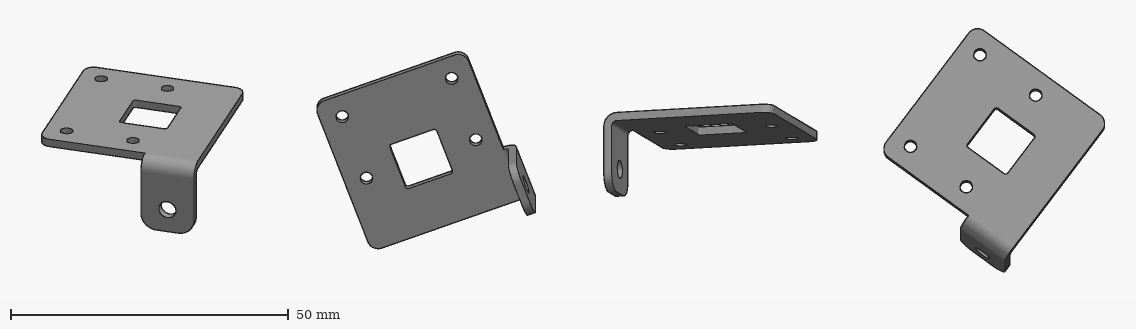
import cadquery as cq

thickness = 1.5
bend_inner_radius = 0.98
bend_outer_radius = bend_inner_radius + thickness

plate_width = 30.0
total_depth = 31.5
plate_depth = total_depth - bend_outer_radius
plate_corner_radius = 2.0

mount_hole_diameter = 2.25
mount_hole_inset = 4.0
mount_hole_right_x = 16.5

window_size = 9.0
window_corner_radius = 0.5

tab_width = 10.02
tab_height = 14.0
tab_corner_radius = 3.0
tab_hole_diameter = 3.2
tab_hole_drop = 9.5
tab_left = plate_width - tab_width


def make_plate():
    """Flat plate, square only at the corner where it runs into the tab."""
    plate = cq.Workplane("XY").box(plate_width, plate_depth, thickness, centered=False)
    plate = plate.translate((0, 0, -thickness))
    plate = plate.edges("|Z and (<X or >Y)").fillet(plate_corner_radius)

    mount_holes = (
        cq.Workplane("XY")
        .pushPoints([
            (x, y)
            for x in (mount_hole_inset, mount_hole_right_x)
            for y in (mount_hole_inset, plate_depth - mount_hole_inset)
        ])
        .circle(mount_hole_diameter / 2)
        .extrude(-thickness)
    )
    window = (
        cq.Workplane("XY")
        .center(mount_hole_right_x, plate_depth / 2)
        .rect(window_size, window_size)
        .extrude(-thickness)
        .edges("|Z")
        .fillet(window_corner_radius)
    )
    return plate.cut(mount_holes).cut(window)


def make_tab():
    """Quarter-round bend and hanging tab, from a YZ profile swept along X."""
    outer_y = -bend_outer_radius
    inner_y = -bend_inner_radius
    tab = (
        cq.Workplane("YZ", origin=(tab_left, 0, 0))
        .moveTo(0, 0)
        .radiusArc((outer_y, -bend_outer_radius), -bend_outer_radius)
        .lineTo(outer_y, -tab_height)
        .lineTo(inner_y, -tab_height)
        .lineTo(inner_y, -bend_outer_radius)
        .radiusArc((0, -thickness), bend_inner_radius)
        .close()
        .extrude(tab_width)
    )
    tab = tab.faces("<Z").edges("|Y").fillet(tab_corner_radius)

    hole = (
        cq.Workplane("XZ")
        .center(tab_left + tab_width / 2, -tab_hole_drop)
        .circle(tab_hole_diameter / 2)
        .extrude(bend_outer_radius)
    )
    return tab.cut(hole)


result = make_plate().union(make_tab())